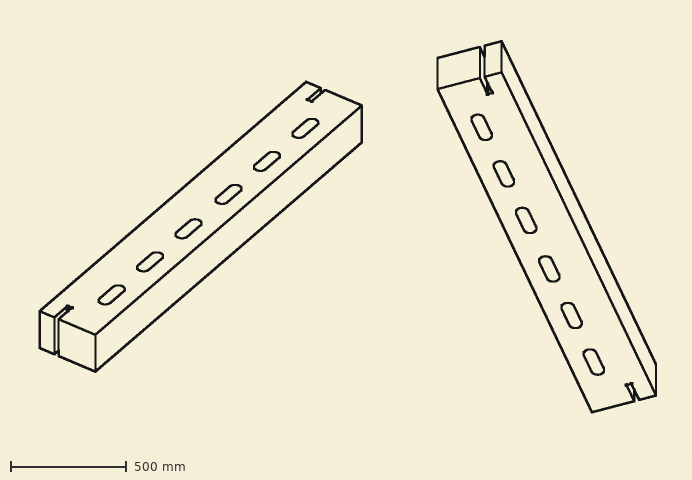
import cadquery as cq

LENGTH = 2000.0
WIDTH = 295.0
HEIGHT = 200.0

SLOT_LENGTH = 155.0
SLOT_WIDTH = 55.0
SLOT_FROM_LEFT = 188.0
FIRST_SLOT_Y = 150.0
SLOT_PITCH = 288.0
SLOTS_PER_HALF = 3

NOTCH_FROM_LEFT = 78.0
NOTCH_WIDTH = 22.0
NOTCH_DEPTH = 100.0
RELIEF_RADIUS = 5.0

LEFT_X = -WIDTH / 2


def make_slots():
    """Round-ended cutters for the whole row."""
    x = LEFT_X + SLOT_FROM_LEFT
    half_row = [FIRST_SLOT_Y + i * SLOT_PITCH for i in range(SLOTS_PER_HALF)]
    centres = [(x, side * y) for side in (-1, 1) for y in half_row]
    return (
        cq.Workplane("XY")
        .pushPoints(centres)
        .slot2D(SLOT_LENGTH, SLOT_WIDTH, 90)
        .extrude(HEIGHT)
    )


def make_notch():
    """Cutter for the notch in the +Y end, including its corner reliefs."""
    x_start = LEFT_X + NOTCH_FROM_LEFT
    x_end = x_start + NOTCH_WIDTH
    y_inner = LENGTH / 2 - NOTCH_DEPTH
    notch = (
        cq.Workplane("XY")
        .moveTo(x_start, y_inner)
        .lineTo(x_end, y_inner)
        .lineTo(x_end, LENGTH / 2)
        .lineTo(x_start, LENGTH / 2)
        .close()
        .extrude(HEIGHT)
    )
    reliefs = (
        cq.Workplane("XY")
        .pushPoints([(x_start, y_inner), (x_end, y_inner)])
        .circle(RELIEF_RADIUS)
        .extrude(HEIGHT)
    )
    return notch.union(reliefs)


beam = cq.Workplane("XY").box(WIDTH, LENGTH, HEIGHT, centered=(True, True, False))
notch = make_notch()
result = beam.cut(make_slots()).cut(notch).cut(notch.mirror("XZ"))